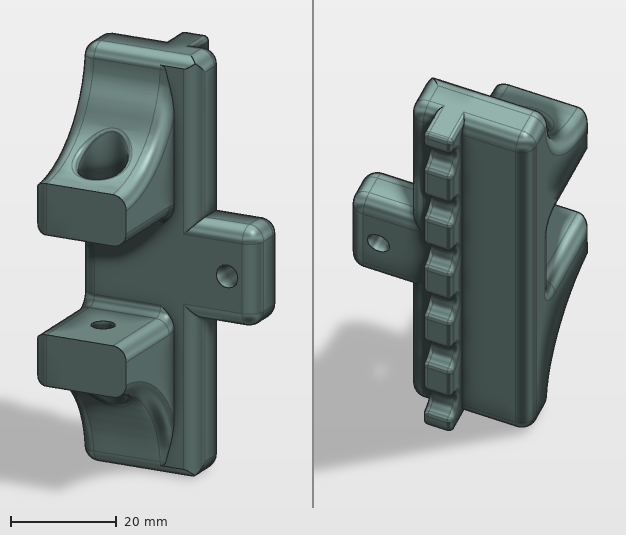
import cadquery as cq
import math

HEIGHT = 84.0
PLATE_WIDTH = 25.0
PLATE_DEPTH = 10.0
EDGE_RADIUS = 3.0

TAB_REACH = 37.5
TAB_HEIGHT = 20.0
HOLE_DIAMETER = 4.5

ARM_WIDTH = 20.0
ARM_REACH = 20.0
ARM_ARC_RADIUS = 21.25
ARM_ARC_CENTRE_Z = 41.5
ARM_ARC_OVERHANG = 1.35
ARM_INNER_SIDE_RADIUS = 2.85
SLOT_HEIGHT = 20.0
SLOT_CORNER_RADIUS = 2.0
COUNTERBORE_DIAMETER = 9.5
COUNTERBORE_FLOOR = 5.0
COUNTERBORE_LIP_RADIUS = 1.0

RAIL_WIDTH = 6.0
RAIL_DEPTH = 5.0
RAIL_EDGE_RADIUS = 1.0
SCALLOP_COUNT = 6
SCALLOP_PITCH = 14.0
SCALLOP_RADIUS = 3.3

TOLERANCE = 0.1

HALF_HEIGHT = HEIGHT / 2
HALF_SLOT = SLOT_HEIGHT / 2
TIP_Z = ARM_ARC_CENTRE_Z - math.sqrt(ARM_ARC_RADIUS**2 - ARM_ARC_OVERHANG**2)

ARC_CENTRE = cq.Vector(-ARM_REACH - ARM_ARC_OVERHANG, ARM_ARC_CENTRE_Z)
ROUND_DROP = ARM_ARC_CENTRE_Z - (HALF_HEIGHT - EDGE_RADIUS)
ROUND_OFFSET = math.sqrt((ARM_ARC_RADIUS + EDGE_RADIUS) ** 2 - ROUND_DROP**2)
ROUND_CENTRE = ARC_CENTRE + cq.Vector(ROUND_OFFSET, -ROUND_DROP)
ARC_END = ARC_CENTRE + (ROUND_CENTRE - ARC_CENTRE).normalized() * ARM_ARC_RADIUS


def make_plate():
    """T-shaped plate with its tab; the outer edges are rounded, the two inner corners of the T are sharp."""
    outline = [
        (0, -HALF_HEIGHT),
        (PLATE_WIDTH, -HALF_HEIGHT),
        (PLATE_WIDTH, -TAB_HEIGHT / 2),
        (TAB_REACH, -TAB_HEIGHT / 2),
        (TAB_REACH, TAB_HEIGHT / 2),
        (PLATE_WIDTH, TAB_HEIGHT / 2),
        (PLATE_WIDTH, HALF_HEIGHT),
        (0, HALF_HEIGHT),
    ]
    plate = cq.Workplane("XZ").polyline(outline).close().extrude(-PLATE_DEPTH)

    def is_rounded(edge):
        centre = edge.Center()
        on_right_side = abs(centre.x - PLATE_WIDTH) < TOLERANCE
        at_inner_corner = on_right_side and abs(abs(centre.z) - TAB_HEIGHT / 2) < TOLERANCE
        at_front_end = abs(centre.y) < TOLERANCE and abs(centre.z) > HALF_HEIGHT - TOLERANCE
        return not at_inner_corner and not at_front_end

    plate = plate.edges().filter(is_rounded).fillet(EDGE_RADIUS)

    for side in (1, -1):
        end_z = side * HALF_HEIGHT
        waste = (
            cq.Workplane("YZ")
            .moveTo(ARC_END.x, side * ARC_END.y)
            .radiusArc((ROUND_CENTRE.x, end_z), side * EDGE_RADIUS)
            .lineTo(ARC_END.x, end_z)
            .close()
            .extrude(PLATE_WIDTH)
        )
        plate = plate.cut(waste)

    arm_seat = cq.Workplane("XY").box(ARM_WIDTH / 2, PLATE_DEPTH / 2, HEIGHT, centered=(False, False, True))
    return plate.cut(arm_seat)


def make_upper_arm():
    """Upper arm and the front half of the plate behind it: an extruded side outline with rounded edges."""
    plate_middle = PLATE_DEPTH / 2
    arm = (
        cq.Workplane("YZ")
        .moveTo(plate_middle, 0)
        .lineTo(0, 0)
        .lineTo(0, HALF_SLOT)
        .lineTo(-ARM_REACH, HALF_SLOT)
        .lineTo(-ARM_REACH, TIP_Z)
        .radiusArc((ARC_END.x, ARC_END.y), -ARM_ARC_RADIUS)
        .radiusArc((ROUND_CENTRE.x, HALF_HEIGHT), EDGE_RADIUS)
        .lineTo(plate_middle, HALF_HEIGHT)
        .close()
        .extrude(ARM_WIDTH)
    )
    slot_corner = (ARM_WIDTH / 2, 0, HALF_SLOT)
    arm = arm.edges(cq.selectors.NearestToPointSelector(slot_corner)).fillet(SLOT_CORNER_RADIUS)

    def is_outer(edge):
        centre = edge.Center()
        return centre.y < plate_middle - TOLERANCE and centre.z > TOLERANCE

    def is_outer_except_tip(edge):
        return is_outer(edge) and edge.Center().y > -ARM_REACH + TOLERANCE

    arm = arm.faces(">X").edges().filter(is_outer_except_tip).fillet(ARM_INNER_SIDE_RADIUS)
    arm = arm.faces("<X").edges().filter(is_outer).fillet(EDGE_RADIUS)
    return cut_screw_hole(arm)


def cut_screw_hole(arm):
    """Vertical through hole with a counterbore whose mouth is rounded where it meets the concave arc."""
    axis_x = ARM_WIDTH / 2
    axis_y = -ARM_REACH / 2
    floor_z = HALF_SLOT + COUNTERBORE_FLOOR
    counterbore = (
        cq.Workplane("XY", origin=(axis_x, axis_y, floor_z))
        .circle(COUNTERBORE_DIAMETER / 2)
        .extrude(HALF_HEIGHT)
    )
    arm = arm.cut(counterbore)
    mouth = cq.selectors.NearestToPointSelector((axis_x, axis_y, TIP_Z + COUNTERBORE_LIP_RADIUS))
    arm = arm.edges("%BSPLINE").edges(mouth).fillet(COUNTERBORE_LIP_RADIUS)
    hole = cq.Workplane("XY", origin=(axis_x, axis_y, 0)).circle(HOLE_DIAMETER / 2).extrude(HALF_HEIGHT)
    return arm.cut(hole)


def make_rail():
    """Rail let into the plate, with semicircular scallops along its back."""
    rail_front = PLATE_DEPTH / 2
    rail_back = PLATE_DEPTH + RAIL_DEPTH
    rail = (
        cq.Workplane("XY", origin=(ARM_WIDTH - RAIL_WIDTH, rail_front, 0))
        .box(RAIL_WIDTH, rail_back - rail_front, HEIGHT, centered=(False, False, True))
    )
    span = SCALLOP_PITCH * (SCALLOP_COUNT - 1)
    centres = [(rail_back, i * SCALLOP_PITCH - span / 2) for i in range(SCALLOP_COUNT)]
    scallops = cq.Workplane("YZ").pushPoints(centres).circle(SCALLOP_RADIUS).extrude(PLATE_WIDTH)
    rail = rail.cut(scallops)
    return rail.edges("not <Y").fillet(RAIL_EDGE_RADIUS)


def make_tab_hole():
    """Cutter for the hole through the middle of the tab."""
    centre_x = (PLATE_WIDTH + TAB_REACH) / 2
    return cq.Workplane("XZ").center(centre_x, 0).circle(HOLE_DIAMETER / 2).extrude(-PLATE_DEPTH)


upper_arm = make_upper_arm()
lower_arm = upper_arm.mirror("XY")
result = make_plate().union(upper_arm).union(lower_arm).union(make_rail()).cut(make_tab_hole())